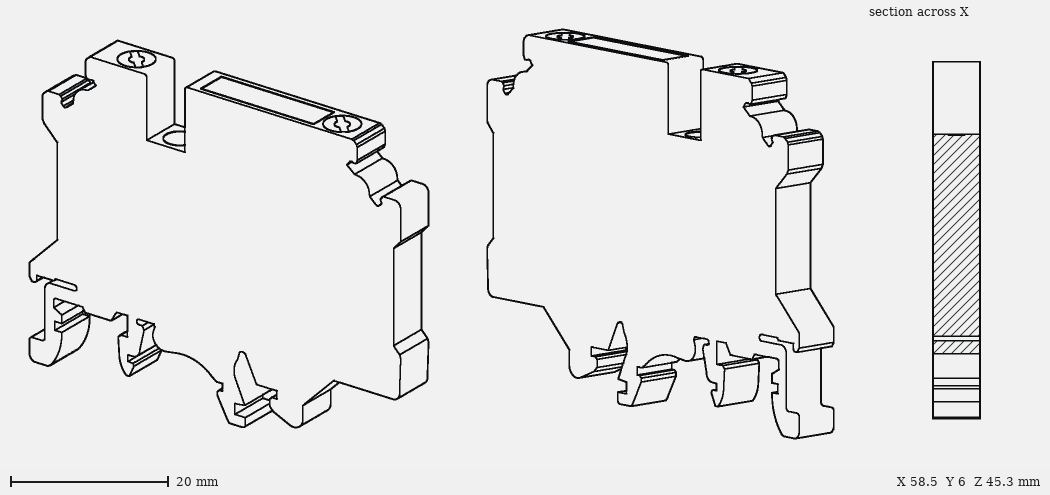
import cadquery as cq

thickness = 6.0
length = 58.51
height = 45.31

mirror_x = 30.25
block_left = 8.82
block_right = 2 * mirror_x - block_left
block_chamfer_width = 0.68
block_chamfer_height = 0.9
knee_inset = 0.13
knee_drop = 0.53
shoulder_top = 38.65
shoulder_left = 2.05
end_chamfer_width = 0.95
end_chamfer_height = 0.9
shoulder_radius = 1.0

slot_left = 18.5
slot_right = 24.5
slot_floor = 36.1
slot_edge_radius = 0.4

entry_top = 31.8
entry_bottom = 18.15
entry_left = 4.4
entry_right = 57.38

base = 10.6

foot_top = 3.35
foot_radius = 0.45
hook_left = 2.42
hook_radius = 1.0
gap_bottom = 11.75
gap_top = 12.59
gap_end = 7.05

screw_diameter = 4.9
screw_centers = (14.7, 47.1)
screw_recess = 0.05
drive_width = 1.0
drive_hub_diameter = 2.0
drive_angle = -45.0
drive_depth = 0.1
bridge_hole_diameter = 4.2
bridge_hole_depth = 0.1
label_left = 26.45
label_right = 44.2
label_width = 4.4
label_depth = 0.1

entry_inner_width = 3.1
entry_inner_height = 4.9
entry_depth = 0.1


def marker_notch(side):
    """Points of one marker notch, from the block down to the shoulder (side -1 left, +1 right)."""
    def at(offset, z):
        return (mirror_x + side * offset, z)

    return {
        "lip": [at(21.43, 42.6), at(21.2, 42.05), at(20.8, 42.05), at(20.45, 42.15), at(20.2, 42.05),
                at(19.8, 41.5), at(21.0, 40.5)],
        "bulge": [at(21.45, 40.45), at(22.8, 39.75), at(23.3, 38.7)],
        "hook": [at(23.38, 38.05), at(24.33, 37.2), at(24.65, 37.05), at(24.9, 37.2), at(25.25, 37.65),
                 at(25.05, 38.15), at(25.3, 38.5), at(25.55, shoulder_top)],
    }


def lines(outline, points):
    """Continue the outline with straight lines through the points."""
    for point in points:
        outline = outline.lineTo(*point)
    return outline


def housing():
    """Body of constant thickness, its outline drawn clockwise from the left shoulder."""
    left = marker_notch(-1)
    right = marker_notch(1)
    outline = cq.Workplane("XZ", origin=(0, thickness / 2, 0))

    outline = outline.moveTo(shoulder_left + end_chamfer_width, shoulder_top)
    outline = lines(outline, reversed(left["hook"]))
    outline = outline.lineTo(*left["bulge"][2])
    outline = outline.threePointArc(left["bulge"][1], left["bulge"][0])
    outline = lines(outline, reversed(left["lip"]))
    outline = lines(outline, [
        (block_left, height - block_chamfer_height),
        (block_left + knee_inset, height - knee_drop),
        (block_left + block_chamfer_width, height),
        (slot_left - slot_edge_radius, height),
    ])
    outline = outline.radiusArc((slot_left, height - slot_edge_radius), slot_edge_radius)
    outline = lines(outline, [
        (slot_left, slot_floor),
        (slot_right, slot_floor),
        (slot_right, height - slot_edge_radius),
    ])
    outline = outline.radiusArc((slot_right + slot_edge_radius, height), slot_edge_radius)
    outline = lines(outline, [
        (50.8, height),
        (51.1, 45.2),
        (block_right - knee_inset, height - knee_drop),
        (block_right, height - block_chamfer_height),
    ])
    outline = lines(outline, right["lip"])
    outline = outline.lineTo(*right["bulge"][0])
    outline = outline.threePointArc(right["bulge"][1], right["bulge"][2])
    outline = lines(outline, right["hook"])

    outline = outline.lineTo(length - shoulder_radius, shoulder_top)
    outline = outline.radiusArc((length, shoulder_top - shoulder_radius), shoulder_radius)
    outline = lines(outline, [
        (length, 33.06),
        (entry_right, entry_top),
        (entry_right, entry_bottom),
        (58.35, 17.15),
    ])
    outline = outline.threePointArc((58.46, 16.85), (length, 16.5))
    outline = outline.lineTo(58.33, 11.75)
    outline = outline.threePointArc((58.08, 10.95), (57.28, base))

    outline = lines(outline, [(47.95, base), (43.1, 5.75), (43.1, 3.6)])
    outline = outline.threePointArc((42.53, 2.6), (41.18, 2.35))
    outline = lines(outline, [
        (38.48, 3.55), (37.88, 4.15), (37.88, 5.2), (38.18, 5.5), (38.98, 5.5), (38.98, 6.65), (35.8, 6.65),
        (34.05, 10.4),
    ])

    outline = outline.threePointArc((33.6, base), (33.13, 10.4))
    outline = outline.lineTo(32.8, 9.3)
    outline = outline.threePointArc((32.25, 7.5), (32.4, 6.7))
    outline = lines(outline, [
        (33.95, 3.2), (32.4, 3.0), (32.4, 1.5), (34.04, 1.5), (34.04, 0.5),
    ])
    outline = outline.radiusArc((33.54, 0), 0.5)
    outline = lines(outline, [
        (31.5, 0), (31.2, 0.4), (29.6, 3.4), (29.6, 3.9), (29.9, 4.2), (30.4, 4.2),
        (30.4, 5.25), (29.5, 5.25), (28.8, 5.75),
    ])
    outline = outline.threePointArc((26.3, 7.25), (23.5, 7.55))
    outline = outline.lineTo(21.5, 7.25)
    outline = outline.threePointArc((19.95, 7.8), (19.45, 9.2))
    outline = lines(outline, [(19.75, 10.2), (19.6, base), (17.3, base)])

    outline = outline.threePointArc((16.93, 10.25), (17.3, 9.85))
    outline = lines(outline, [(17.8, 9.85), (18.08, 9.3), (17.4, 6.3)])
    outline = outline.threePointArc((17, 5.4), (16.24, 5.15))
    outline = lines(outline, [
        (15.54, 5.1), (15.54, 4.2), (16.34, 4.15), (16.49, 3.8), (15.74, 2.17), (15.24, 2.17),
    ])
    outline = outline.threePointArc((14.44, 3.4), (14.14, 5.0))
    outline = lines(outline, [
        (13.98, 7.2), (14.34, 7.6), (15.44, 7.6), (15.44, base), (13.74, base), (12.89, 9.15), (8.79, 9.15),
        (8.39, 9.85), (4.2, 9.85),
    ])

    outline = outline.radiusArc((3.86, 9.5), -0.35)
    outline = lines(outline, [
        (3.86, 8.5), (5.12, 7.8), (5.12, 6.6), (4.04, 6.6), (4.04, 5.35), (5.12, 5.35),
    ])
    outline = outline.threePointArc((4.58, 2.3), (3.3, 0.2))
    outline = lines(outline, [(2.9, 0), (0.75, 0)])
    outline = outline.threePointArc((0.24, 0.35), (0, 1.1))
    outline = outline.lineTo(0, foot_top - foot_radius)
    outline = outline.radiusArc((foot_radius, foot_top), foot_radius)
    outline = outline.lineTo(hook_left - foot_radius, foot_top)
    outline = outline.radiusArc((hook_left, foot_top + foot_radius), -foot_radius)
    outline = outline.lineTo(hook_left, gap_bottom - hook_radius)
    outline = outline.radiusArc((hook_left + hook_radius, gap_bottom), hook_radius)
    outline = outline.lineTo(gap_end, gap_bottom)
    outline = outline.radiusArc((gap_end, gap_top), -(gap_top - gap_bottom) / 2)
    outline = lines(outline, [
        (4.1, gap_top), (3.9, 12.25), (1.16, 12.25), (1.16, 11.5), (0.9, 11.2), (0.4, 11.2),
        (0, 11.8), (0, 13.5),
    ])
    outline = outline.threePointArc((0.07, 13.8), (0.25, 14.0))

    outline = lines(outline, [
        (entry_left, entry_bottom),
        (entry_left, entry_top),
        (2.3, 33.95),
        (shoulder_left, 34.5),
        (shoulder_left, shoulder_top - end_chamfer_height),
        (2.18, 38.08),
        (2.63, 38.5),
    ])
    return outline.close().extrude(thickness)


def disc(diameter, x, top, depth):
    """Upright disc whose upper face lies at height top."""
    return cq.Workplane("XY", origin=(x, 0, top - depth)).circle(diameter / 2).extrude(depth)


def screw_recess_at(x):
    """Shallow screw head with a slanting driver slot that widens at its center."""
    head = disc(screw_diameter, x, height, screw_recess)
    bottom = height - drive_depth
    bar = cq.Workplane("XY", origin=(x, 0, bottom)).rect(screw_diameter, drive_width).extrude(drive_depth)
    drive = bar.rotate((x, 0, 0), (x, 0, 1), drive_angle)
    drive = drive.union(disc(drive_hub_diameter, x, height, drive_depth))
    drive = drive.intersect(disc(screw_diameter, x, height, drive_depth))
    return head.union(drive)


def label_recess():
    """Shallow rectangular label field on the block."""
    middle = (label_left + label_right) / 2
    plane = cq.Workplane("XY", origin=(middle, 0, height - label_depth))
    return plane.rect(label_right - label_left, label_width).extrude(label_depth)


def wire_entry(x, inward):
    """Shallow funnel in an end face; inward is +1 or -1 along X."""
    middle = (entry_top + entry_bottom) / 2
    plane = cq.Workplane("YZ", origin=(x, 0, middle))
    outer = plane.rect(thickness, entry_top - entry_bottom)
    inner = outer.workplane(offset=inward * entry_depth).rect(entry_inner_width, entry_inner_height)
    return inner.loft(ruled=True)


result = housing()
for screw_x in screw_centers:
    result = result.cut(screw_recess_at(screw_x))
result = result.cut(disc(bridge_hole_diameter, (slot_left + slot_right) / 2, slot_floor, bridge_hole_depth))
result = result.cut(label_recess())
result = result.cut(wire_entry(entry_left, 1))
result = result.cut(wire_entry(entry_right, -1))